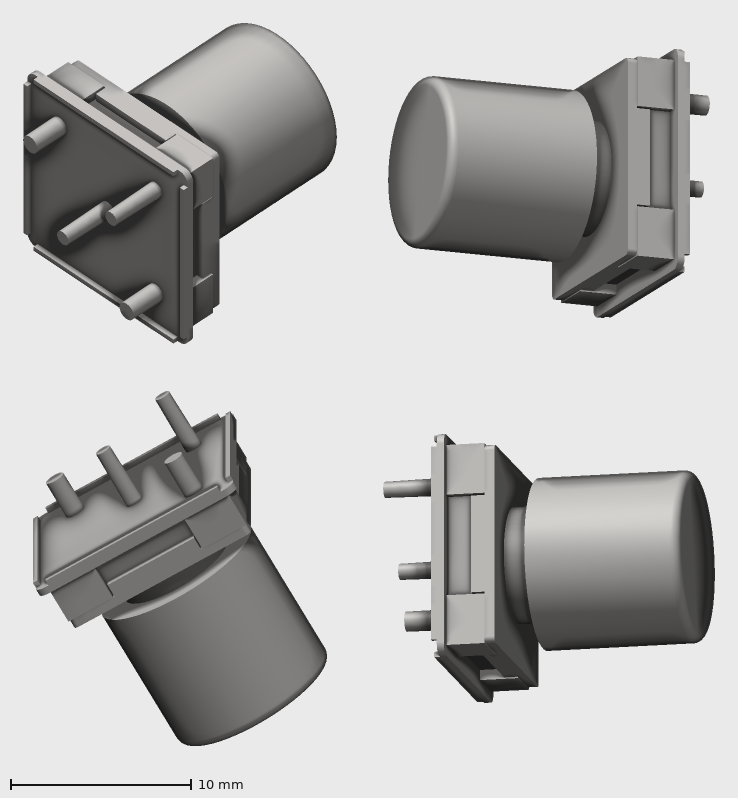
import cadquery as cq


plate_side = 12.65
plate_thickness = 0.4
plate_corner_radius = 0.63
strip_length = 11.02
strip_width = 0.3
strip_height = 0.32

housing_side = 11.42
housing_depth = 2.17
recess_width = 5.75
recess_floor_side = 10.27

recess_depth = (housing_side - recess_floor_side) / 2

cover_side = 11.3
cover_thickness = 0.56
cover_corner_radius = 0.3
tab_width = 5.53
tab_length = 0.76
tab_thickness = (cover_side - recess_floor_side) / 2

shaft_diameter = 6.51
shaft_length = 1.51
knob_diameter = 9.63
knob_edge_radius = 0.5

pin_offset = 3.8
long_pin_length = 3.51
long_pin_base_diameter = 1.0
long_pin_tip_diameter = 0.9
short_pin_length = 2.29
short_pin_base_diameter = 1.15
short_pin_tip_diameter = 1.12

total_length = 16.95
housing_start = plate_thickness
cover_start = housing_start + housing_depth
shaft_start = cover_start + cover_thickness
knob_start = shaft_start + shaft_length
knob_length = total_length - long_pin_length - knob_start

QUARTER_TURNS = (0, 90, 180, 270)


def plane_at(y):
    """Workplane at height y whose normal points to +Y."""
    return cq.Workplane(cq.Plane(origin=(0, y, 0), xDir=(1, 0, 0), normal=(0, 1, 0)))


def square_block(side, y_start, length):
    return plane_at(y_start).rect(side, side).extrude(length)


def edge_block(width, outer_side, thickness, y_start, length):
    """Block along the +Z edge of a square, flush with that edge."""
    return (
        cq.Workplane("XY")
        .box(width, length, thickness, centered=(True, False, False))
        .translate((0, y_start, outer_side / 2 - thickness))
    )


def on_all_sides(block):
    """The block repeated on the four sides around the Y axis."""
    copies = cq.Workplane("XY")
    for angle in QUARTER_TURNS:
        copies = copies.add(block.rotate((0, 0, 0), (0, 1, 0), angle))
    return copies.combine()


def base_plate():
    plate = square_block(plate_side, 0, plate_thickness)
    plate = plate.edges("|Y").fillet(plate_corner_radius)
    strip = edge_block(strip_length, plate_side, strip_width, -strip_height, strip_height)
    return plate.union(on_all_sides(strip))


def housing():
    block = square_block(housing_side, housing_start, housing_depth)
    recess = edge_block(recess_width, housing_side, recess_depth, housing_start, housing_depth)
    return block.cut(on_all_sides(recess))


def cover():
    lid = square_block(cover_side, cover_start, cover_thickness)
    lid = lid.edges("|Y").fillet(cover_corner_radius)
    tab = edge_block(tab_width, cover_side, tab_thickness, cover_start - tab_length, tab_length)
    return lid.union(on_all_sides(tab))


def shaft_and_knob():
    shaft = plane_at(shaft_start).circle(shaft_diameter / 2).extrude(shaft_length)
    knob = plane_at(knob_start).circle(knob_diameter / 2).extrude(knob_length)
    knob = knob.faces(">Y").edges().fillet(knob_edge_radius)
    return shaft.union(knob)


def pin(x, z, length, base_diameter, tip_diameter):
    """Tapered pin standing on the plate face and pointing to -Y."""
    cone = cq.Solid.makeCone(
        base_diameter / 2,
        tip_diameter / 2,
        length,
        pnt=cq.Vector(x, 0, z),
        dir=cq.Vector(0, -1, 0),
    )
    return cq.Workplane(cone)


result = base_plate().union(housing()).union(cover()).union(shaft_and_knob())

for x, z in ((0, 0), (pin_offset, pin_offset)):
    result = result.union(pin(x, z, long_pin_length, long_pin_base_diameter, long_pin_tip_diameter))

for x, z in ((-pin_offset, pin_offset), (pin_offset, -pin_offset)):
    result = result.union(pin(x, z, short_pin_length, short_pin_base_diameter, short_pin_tip_diameter))